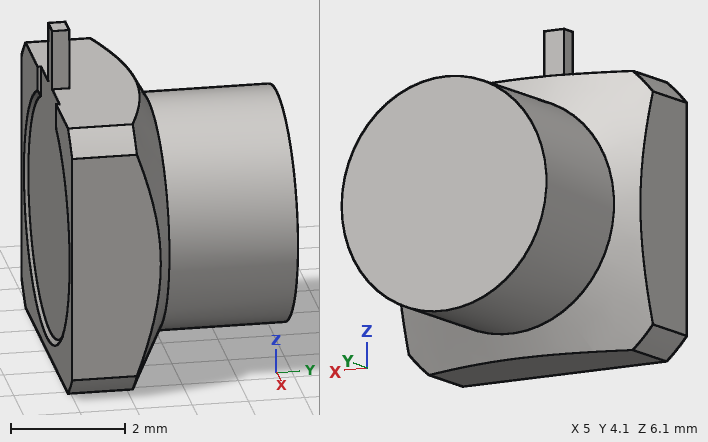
import cadquery as cq

flange_side = 5.0
flange_radius = 3.26
rim_depth = 1.15

barrel_radius = 2.1
shoulder_depth = 1.805
total_depth = 4.1

recess_depth = 0.06
recess_front_radius = 2.245
recess_floor_radius = 2.15
notch_width = 1.805

lead_width = 0.4
lead_thickness = 0.305
total_height = 6.1

flange_top = flange_side / 2
lead_top = total_height - flange_side / 2


def box_between(width, y_start, y_end, z_start, z_end):
    """Box centred on X, spanning the given Y and Z ranges."""
    return (
        cq.Workplane("XY")
        .box(width, y_end - y_start, z_end - z_start, centered=(True, False, False))
        .translate((0, y_start, z_start))
    )


def make_body():
    """Revolved disc, cone and barrel, with the disc cut to a square outline."""
    turned = (
        cq.Workplane("XY")
        .moveTo(0, 0)
        .lineTo(flange_radius, 0)
        .lineTo(flange_radius, rim_depth)
        .lineTo(barrel_radius, shoulder_depth)
        .lineTo(barrel_radius, total_depth)
        .lineTo(0, total_depth)
        .close()
        .revolve(360, (0, 0), (0, 1))
    )
    square = box_between(flange_side, 0, total_depth, -flange_top, flange_top)
    return turned.intersect(square)


def make_recess():
    """Tapered round pocket and the notch that opens it to the top edge."""
    pocket = (
        cq.Workplane("XY")
        .moveTo(0, 0)
        .lineTo(recess_front_radius, 0)
        .lineTo(recess_floor_radius, recess_depth)
        .lineTo(0, recess_depth)
        .close()
        .revolve(360, (0, 0), (0, 1))
    )
    notch = box_between(notch_width, 0, recess_depth, 0, flange_top)
    return pocket.union(notch)


def make_lead():
    """Straight lead, rooted in the flange and rising past its top edge."""
    return box_between(lead_width, recess_depth, recess_depth + lead_thickness, 0, lead_top)


result = make_body().cut(make_recess()).union(make_lead())